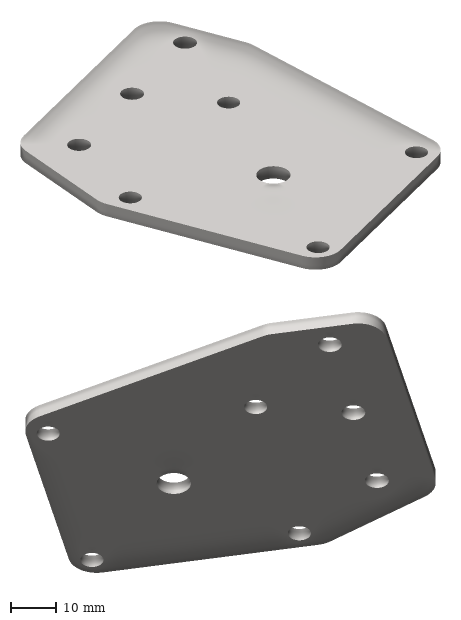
import cadquery as cq

LENGTH = 85.65
WIDTH = 77.3
THICKNESS = 3.2

BACK_SLOPE_START_X = 25.7
BACK_SLOPE_DROP = 20.2
FRONT_SLOPE_END_X = 28.8
FRONT_SLOPE_RISE = 14.05
CORNER_RADIUS = 6.3

MOTOR_X = 57.1
MOTOR_Y = 28.5
MOTOR_HOLE_SPACING = 47.1
MOTOR_HOLE_DIAMETER = 5.1
SHAFT_HOLE_DIAMETER = 7.6

ROW_X = 12.8
ROW_FIRST_Y = 20.2
ROW_PITCH = 25.35
ROW_COUNT = 3
ROW_HOLE_DIAMETER = 5.3


def plate():
    """Six-sided plate with every vertical corner rounded."""
    outline = [
        (0, FRONT_SLOPE_RISE),
        (FRONT_SLOPE_END_X, 0),
        (LENGTH, 0),
        (LENGTH, WIDTH - BACK_SLOPE_DROP),
        (BACK_SLOPE_START_X, WIDTH),
        (0, WIDTH),
    ]
    blank = cq.Workplane("XY").polyline(outline).close().extrude(THICKNESS)
    return blank.edges("|Z").fillet(CORNER_RADIUS)


def hole_cutters(points, diameter):
    """Cylinders through the plate thickness, used to cut holes."""
    return cq.Workplane("XY").pushPoints(points).circle(diameter / 2).extrude(THICKNESS)


half_spacing = MOTOR_HOLE_SPACING / 2
motor_points = [
    (MOTOR_X + side_x * half_spacing, MOTOR_Y + side_y * half_spacing)
    for side_x in (-1, 1)
    for side_y in (-1, 1)
]
row_points = [(ROW_X, ROW_FIRST_Y + i * ROW_PITCH) for i in range(ROW_COUNT)]

result = (
    plate()
    .cut(hole_cutters([(MOTOR_X, MOTOR_Y)], SHAFT_HOLE_DIAMETER))
    .cut(hole_cutters(motor_points, MOTOR_HOLE_DIAMETER))
    .cut(hole_cutters(row_points, ROW_HOLE_DIAMETER))
)